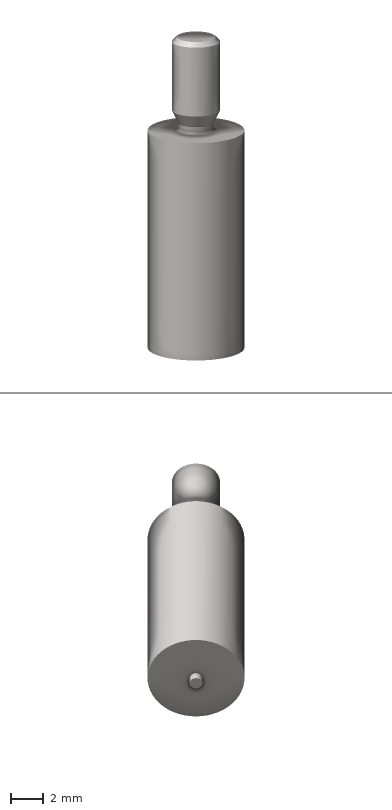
import cadquery as cq

total_length = 20.5
body_diameter = 6.0
pin_diameter = 0.8
pin_length = 0.51
stud_diameter = 3.0
stud_length = 6.0

tip_chamfer = 0.29
neck_diameter = 2.2
root_fillet = 0.2
neck_length = 0.5
cone_height = 0.8

body_radius = body_diameter / 2
pin_radius = pin_diameter / 2
stud_radius = stud_diameter / 2
neck_radius = neck_diameter / 2
shoulder_z = total_length - stud_length
cone_start_z = shoulder_z + neck_length
cone_end_z = cone_start_z + cone_height


def make_body():
    height = shoulder_z - pin_length
    return cq.Workplane("XY").workplane(offset=pin_length).circle(body_radius).extrude(height)


def make_pin():
    return cq.Workplane("XY").circle(pin_radius).extrude(pin_length)


def make_stud():
    """Revolve the stud: filleted root, undercut neck, cone, shank and chamfered tip."""
    fillet_center = (neck_radius + root_fillet, shoulder_z + root_fillet)
    diagonal = root_fillet * 0.5**0.5
    fillet_middle = (fillet_center[0] - diagonal, fillet_center[1] - diagonal)
    return (
        cq.Workplane("XZ")
        .moveTo(0, shoulder_z)
        .lineTo(neck_radius + root_fillet, shoulder_z)
        .threePointArc(fillet_middle, (neck_radius, shoulder_z + root_fillet))
        .lineTo(neck_radius, cone_start_z)
        .lineTo(stud_radius, cone_end_z)
        .lineTo(stud_radius, total_length - tip_chamfer)
        .lineTo(stud_radius - tip_chamfer, total_length)
        .lineTo(0, total_length)
        .close()
        .revolve(360, (0, 0, 0), (0, 1, 0))
    )


result = make_body().union(make_pin()).union(make_stud())